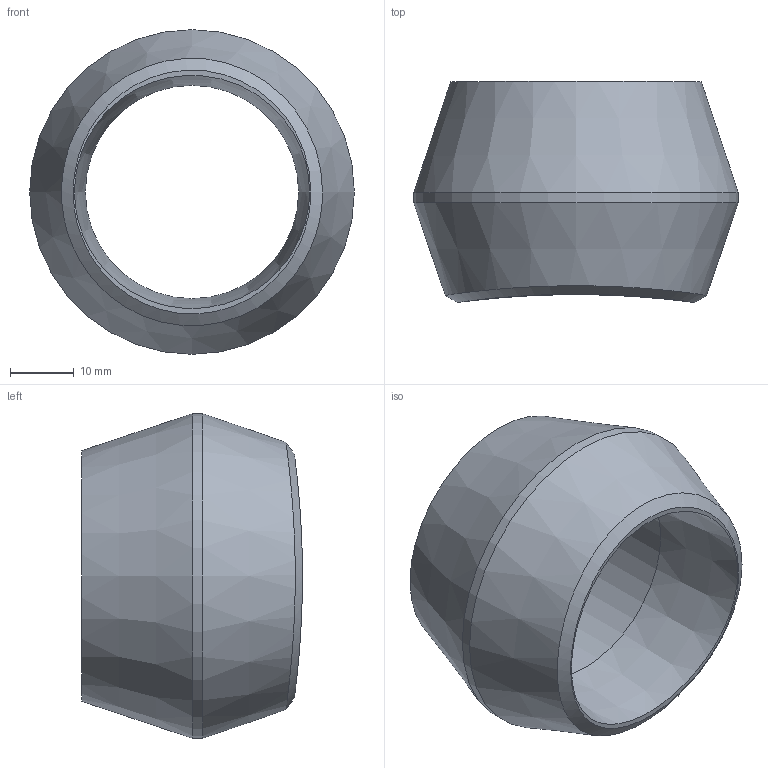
import cadquery as cq

band_radius = 50.8 / 2
outlet_face_radius = 19.6
outlet_cone_length = 17.37
band_width = 1.6
saddle_cone_taper = 0.343

saddle_height = 33.3
run_pipe_radius = 273.0 / 2
run_pipe_length = 4 * band_radius
weld_bevel = 1.4

outlet_bore_radius = 33.4 / 2
saddle_bore_radius = 36.5 / 2
outlet_bore_depth = 19.2

overrun = 5.0
cut_length = saddle_height + overrun


def revolve_about_axis(profile):
    """Revolve a closed radius / Y profile about the Y axis."""
    return profile.close().revolve(360, (0, 0, 0), (0, 1, 0))


def outer_body():
    """Two opposed cones joined by a narrow cylindrical band."""
    band_end = outlet_cone_length + band_width
    saddle_end_radius = band_radius - saddle_cone_taper * (cut_length - band_end)
    profile = (
        cq.Workplane("XY")
        .lineTo(outlet_face_radius, 0)
        .lineTo(band_radius, -outlet_cone_length)
        .lineTo(band_radius, -band_end)
        .lineTo(saddle_end_radius, -cut_length)
        .lineTo(0, -cut_length)
    )
    return revolve_about_axis(profile)


def run_pipe():
    """Run pipe along Z whose surface forms the saddle."""
    return (
        cq.Workplane("XY", origin=(0, -saddle_height - run_pipe_radius, -run_pipe_length / 2))
        .circle(run_pipe_radius)
        .extrude(run_pipe_length)
    )


def bore():
    """Straight outlet bore followed by a taper that widens to the saddle."""
    taper = (saddle_bore_radius - outlet_bore_radius) / (saddle_height - outlet_bore_depth)
    cut_end_radius = saddle_bore_radius + taper * overrun
    profile = (
        cq.Workplane("XY")
        .lineTo(outlet_bore_radius, 0)
        .lineTo(outlet_bore_radius, -outlet_bore_depth)
        .lineTo(cut_end_radius, -cut_length)
        .lineTo(0, -cut_length)
    )
    return revolve_about_axis(profile)


saddled_body = outer_body().cut(run_pipe())
beveled_body = saddled_body.faces("<Y").edges().chamfer(weld_bevel)
result = beveled_body.cut(bore())